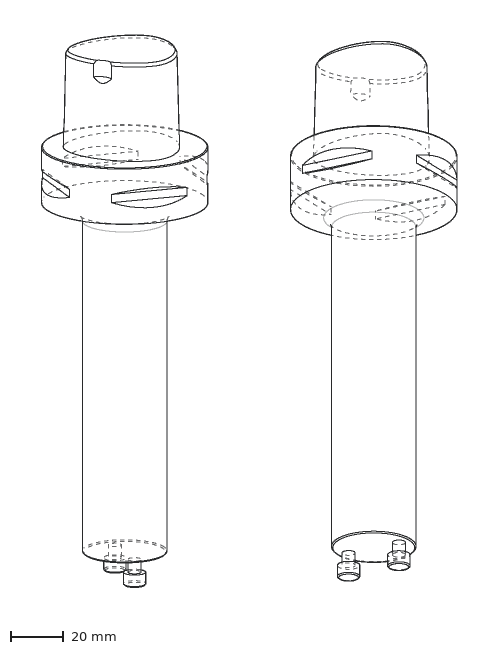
import cadquery as cq
import math


TAPER_LENGTH = 38.0
TAPER_RADIUS = 22.0
TAPER_SLOPE = 1 / 40
LOBE_HEIGHT = 1.3
TIP_CHAMFER_HEIGHT = 1.3
TIP_CHAMFER_INSET = 0.8
OUTLINE_POINTS = 36

NOTCH_RADIUS = 5.0
NOTCH_AXIS_Y = -22.9
NOTCH_WALL_DEPTH = 6.4
NOTCH_CONE_DEPTH = 5.0

FLANGE_RADIUS = 63.0 / 2
FLANGE_HEIGHT = 22.0
FLANGE_CHAMFER = 0.4
GROOVE_COUNT = 4
GROOVE_Z = -12.0
GROOVE_DEPTH = 3.9
GROOVE_FLOOR_WIDTH = 3.2
GROOVE_FLANK_ANGLE = 30.0

OVERALL_LENGTH = 207.0
BAR_RADIUS = 32.0 / 2
BAR_CHAMFER = 0.5
NECK_CONE_ANGLE = 15.0
NECK_FILLET = 4.0

SCREW_SHANK_RADIUS = 5.0 / 2
SCREW_HEAD_RADIUS = 8.5 / 2
SCREW_HEAD_HEIGHT = 5.0
SCREW_HEAD_CHAMFER = 0.5
SCREW_EXPOSED_LENGTH = 10.0
SCREW_CIRCLE_RADIUS = 11.0
SCREW_ANGLES = (135.0, 315.0)

SCREW_END_Z = TAPER_LENGTH - OVERALL_LENGTH
BAR_END_Z = SCREW_END_Z + SCREW_EXPOSED_LENGTH


def lobed_outline(radius, z):
    """Three-lobed constant-width wire at height z, with one lobe toward +Y."""

    def point(t):
        angle = 2 * math.pi * t
        lobe_phase = 3 * (angle - math.pi / 2)
        support = radius + LOBE_HEIGHT * math.cos(lobe_phase)
        slope = -3 * LOBE_HEIGHT * math.sin(lobe_phase)
        return (
            support * math.cos(angle) - slope * math.sin(angle),
            support * math.sin(angle) + slope * math.cos(angle),
        )

    outline = [point(index / OUTLINE_POINTS) for index in range(OUTLINE_POINTS)]
    return cq.Workplane("XY", origin=(0, 0, z)).spline(outline, periodic=True).wire().val()


def make_taper():
    chamfer_z = TAPER_LENGTH - TIP_CHAMFER_HEIGHT
    chamfer_radius = TAPER_RADIUS - TAPER_SLOPE * chamfer_z
    tip_radius = chamfer_radius - TIP_CHAMFER_INSET
    base = lobed_outline(TAPER_RADIUS, 0)
    shoulder = lobed_outline(chamfer_radius, chamfer_z)
    tip = lobed_outline(tip_radius, TAPER_LENGTH)
    shank = cq.Solid.makeLoft([base, shoulder], True)
    chamfered_tip = cq.Solid.makeLoft([shoulder, tip], True)
    return cq.Workplane(shank).union(cq.Workplane(chamfered_tip))


def make_notch():
    """Vertical drill shape with a conical point."""
    wall_end_z = TAPER_LENGTH - NOTCH_WALL_DEPTH
    profile = (
        cq.Workplane("XZ", origin=(0, NOTCH_AXIS_Y, 0))
        .moveTo(0, TAPER_LENGTH)
        .lineTo(NOTCH_RADIUS, TAPER_LENGTH)
        .lineTo(NOTCH_RADIUS, wall_end_z)
        .lineTo(0, wall_end_z - NOTCH_CONE_DEPTH)
        .close()
    )
    return profile.revolve(360, (0, 0, 0), (0, 1, 0))


def make_body():
    """Flange, its conical neck with a fillet, and the bar, as one revolved profile."""
    cone_angle = math.radians(NECK_CONE_ANGLE)
    corner_z = -FLANGE_HEIGHT - (FLANGE_RADIUS - BAR_RADIUS) * math.tan(cone_angle)
    turn = math.pi / 2 - cone_angle
    tangent_length = NECK_FILLET * math.tan(turn / 2)
    fillet_end_z = corner_z - tangent_length
    fillet_start = (
        BAR_RADIUS + tangent_length * math.cos(cone_angle),
        corner_z + tangent_length * math.sin(cone_angle),
    )
    fillet_middle = (
        BAR_RADIUS + NECK_FILLET * (1 - math.cos(turn / 2)),
        fillet_end_z + NECK_FILLET * math.sin(turn / 2),
    )
    profile = (
        cq.Workplane("XZ")
        .moveTo(0, 0)
        .lineTo(FLANGE_RADIUS - FLANGE_CHAMFER, 0)
        .lineTo(FLANGE_RADIUS, -FLANGE_CHAMFER)
        .lineTo(FLANGE_RADIUS, -FLANGE_HEIGHT)
        .lineTo(*fillet_start)
        .threePointArc(fillet_middle, (BAR_RADIUS, fillet_end_z))
        .lineTo(BAR_RADIUS, BAR_END_Z + BAR_CHAMFER)
        .lineTo(BAR_RADIUS - BAR_CHAMFER, BAR_END_Z)
        .lineTo(0, BAR_END_Z)
        .close()
    )
    return profile.revolve(360, (0, 0, 0), (0, 1, 0))


def make_groove(angle):
    """Straight trapezoidal cutter across the flange rim, facing outward at the given angle."""
    half_floor = GROOVE_FLOOR_WIDTH / 2
    half_mouth = half_floor + GROOVE_DEPTH * math.tan(math.radians(GROOVE_FLANK_ANGLE))
    floor_x = FLANGE_RADIUS - GROOVE_DEPTH
    cutter = (
        cq.Workplane("XZ")
        .moveTo(floor_x, GROOVE_Z - half_floor)
        .lineTo(FLANGE_RADIUS, GROOVE_Z - half_mouth)
        .lineTo(FLANGE_RADIUS, GROOVE_Z + half_mouth)
        .lineTo(floor_x, GROOVE_Z + half_floor)
        .close()
        .extrude(FLANGE_RADIUS, both=True)
    )
    return cutter.rotate((0, 0, 0), (0, 0, 1), angle)


def make_screw(angle):
    x = SCREW_CIRCLE_RADIUS * math.cos(math.radians(angle))
    y = SCREW_CIRCLE_RADIUS * math.sin(math.radians(angle))
    base = cq.Workplane("XY", origin=(x, y, SCREW_END_Z))
    head = base.circle(SCREW_HEAD_RADIUS).extrude(SCREW_HEAD_HEIGHT)
    head = head.faces("<Z").chamfer(SCREW_HEAD_CHAMFER)
    shank = base.circle(SCREW_SHANK_RADIUS).extrude(SCREW_EXPOSED_LENGTH)
    return head.union(shank)


result = make_body().union(make_taper().cut(make_notch()))

for index in range(GROOVE_COUNT):
    groove_angle = 360 / GROOVE_COUNT * (index + 0.5)
    result = result.cut(make_groove(groove_angle))

for screw_angle in SCREW_ANGLES:
    result = result.union(make_screw(screw_angle))